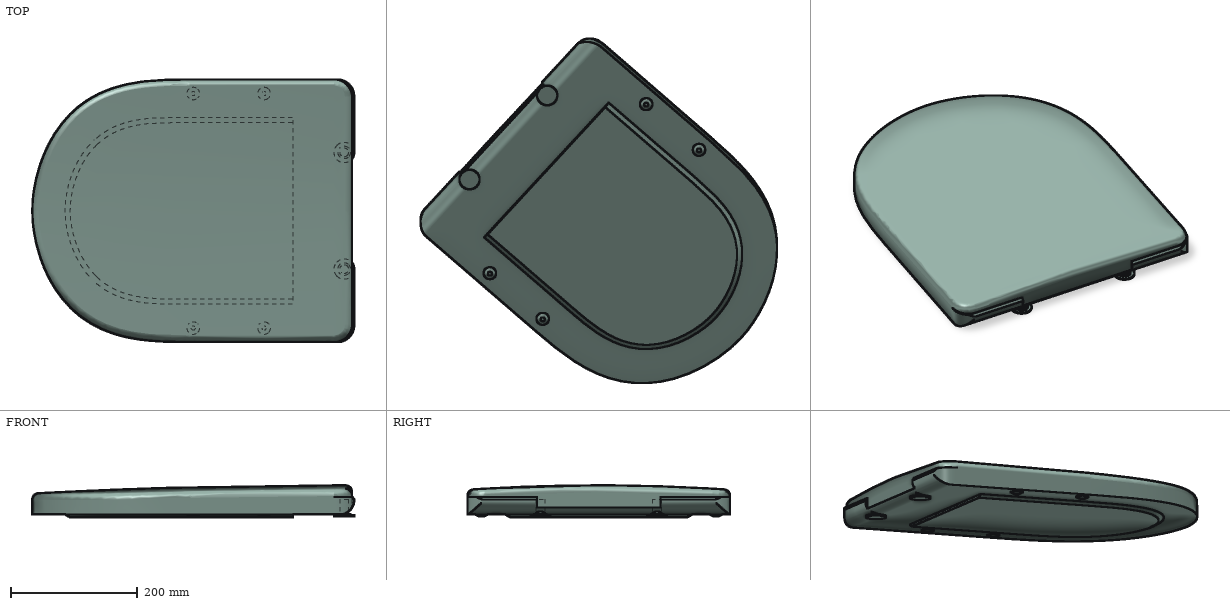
import cadquery as cq
import math

length = 510.0
width = 416.0
height = 51.0
half_width = width / 2

nose_side_handle = 0.44
nose_shoulder_x = 0.195
nose_shoulder_y = 0.97
nose_tip_handle = 0.39

lid_bottom = 4.5
straight_start = 250.0
back_corner_radius = 28.0
crown_x = 474.5
crown_radius_long = 8619.0
crown_radius_across = 3060.0
crown_overhang = 25.5
rim_radius = 11.0
back_bulge_z = 28.0
undercut_radius = back_bulge_z - lid_bottom
bulge_depth = 3.5
bulge_top = 32.5
bulge_start = 459.0
bulge_gap_half_width = 98.0

panel_front = 52.0
panel_back = 413.0
panel_half_width = 148.0
panel_straight_start = 229.5
panel_bevel = 8.0

hinge_y = 92.5
foot_diameter = 32.0
foot_bottom = 1.5
foot_thickness = 2.0
collar_diameter = 20.0
collar_thickness = 1.5
post_diameter = 14.0
hinge_x = length - foot_diameter / 2

bumper_y = 185.5
bumper_xs = (255.0, 367.0)
bumper_base_diameter = 20.0
bumper_tip_diameter = 6.5
bumper_bottom = 1.5


def d_outline(front, back, half, straight_x, z):
    """Closed D shape: rounded nose at low x, straight sides, square back."""
    nose = straight_x - front
    shoulder_x = front + nose_shoulder_x * nose
    side_handle_x = straight_x - nose_side_handle * nose
    shoulder_y = nose_shoulder_y * half
    tip_handle_y = nose_tip_handle * half
    left = [(side_handle_x, half), (shoulder_x, shoulder_y), (front, tip_handle_y), (front, 0)]
    right = [(x, -y) for x, y in reversed(left[:-1])] + [(straight_x, -half)]
    return (
        cq.Workplane("XY", origin=(0, 0, z))
        .moveTo(back, -half)
        .lineTo(back, half)
        .lineTo(straight_x, half)
        .bezier(left, includeCurrent=True)
        .bezier(right, includeCurrent=True)
        .close()
    )


def crown_body():
    """Slab whose top is curved along x and more tightly along y."""
    reach = half_width + crown_overhang
    edge_drop = crown_radius_across - math.sqrt(crown_radius_across**2 - reach**2)
    swing = math.degrees(math.asin((crown_x + crown_overhang) / crown_radius_long))
    section = (
        cq.Workplane("YZ", origin=(crown_x, 0, 0))
        .moveTo(-reach, -crown_overhang)
        .lineTo(-reach, height - edge_drop)
        .threePointArc((0, height), (reach, height - edge_drop))
        .lineTo(reach, -crown_overhang)
        .close()
    )
    axis_z = height - crown_radius_long
    slab = section.revolve(2 * swing, (0, axis_z, 0), (1, axis_z, 0))
    return slab.rotate((crown_x, 0, axis_z), (crown_x, 1, axis_z), -swing)


def back_undercut():
    """Material removed below the back bulge, leaving a quarter round across the full width."""
    arc_x = length - undercut_radius
    diagonal = undercut_radius * math.sqrt(0.5)
    return (
        cq.Workplane("XZ", origin=(0, half_width, 0))
        .moveTo(arc_x, lid_bottom)
        .threePointArc((arc_x + diagonal, back_bulge_z - diagonal), (length, back_bulge_z))
        .lineTo(length, lid_bottom)
        .close()
        .extrude(width)
    )


def lid_blank(back):
    """Lid outline with rounded back corners, taller than the lid."""
    outline = d_outline(0, back, half_width, straight_start, lid_bottom)
    return outline.extrude(height).edges("|Z and >X").fillet(back_corner_radius)


def back_bulges():
    """Lower parts of the back at both corners, standing out behind the rim."""
    profile = (
        cq.Workplane("XZ", origin=(0, half_width, 0))
        .moveTo(bulge_start, lid_bottom)
        .lineTo(length, lid_bottom)
        .lineTo(length, back_bulge_z)
        .lineTo(length - bulge_depth, bulge_top)
        .lineTo(bulge_start, bulge_top)
        .close()
        .extrude(width)
    )
    gap = cq.Workplane("XY").box(
        2 * length, 2 * bulge_gap_half_width, height, centered=(True, True, False)
    )
    return lid_blank(length).intersect(profile).cut(gap)


def make_lid():
    lid = lid_blank(length - bulge_depth).intersect(crown_body())
    lid = lid.faces(">Z").edges().fillet(rim_radius)
    return lid.union(back_bulges()).cut(back_undercut())


def make_panel():
    outline = d_outline(
        panel_front, panel_back + panel_bevel, panel_half_width, panel_straight_start, lid_bottom
    )
    taper = math.degrees(math.atan(panel_bevel / lid_bottom))
    panel = outline.extrude(-lid_bottom, taper=taper)
    return panel.intersect(
        cq.Workplane("XY").box(panel_back, width, height, centered=(False, True, True))
    )


def cylinder_up(x, y, z, diameter, tall):
    return cq.Workplane("XY", origin=(x, y, z)).circle(diameter / 2).extrude(tall)


def make_hinge(side):
    """Foot, collar and a post that stands in a blind hole of the lid; side is +1 or -1."""
    y = side * hinge_y
    foot_top = foot_bottom + foot_thickness
    foot = cylinder_up(hinge_x, y, foot_bottom, foot_diameter, foot_thickness)
    collar = cylinder_up(hinge_x, y, foot_top, collar_diameter, collar_thickness)
    post = cylinder_up(hinge_x, y, foot_top, post_diameter, back_bulge_z - foot_top)
    return foot.union(collar).union(post)


def make_bumper(x, y):
    """Tapered foot hanging from the underside of the lid."""
    return (
        cq.Workplane("XY", origin=(x, y, lid_bottom))
        .circle(bumper_base_diameter / 2)
        .workplane(offset=bumper_bottom - lid_bottom)
        .circle(bumper_tip_diameter / 2)
        .loft()
    )


sides = (-1, 1)
hinges = [make_hinge(side) for side in sides]
lid = make_lid()
for hinge in hinges:
    lid = lid.cut(hinge)
panel = make_panel()
bumpers = [make_bumper(x, side * bumper_y) for x in bumper_xs for side in sides]

result = cq.Compound.makeCompound(
    [lid.val(), panel.val()] + [body.val() for body in hinges + bumpers]
)